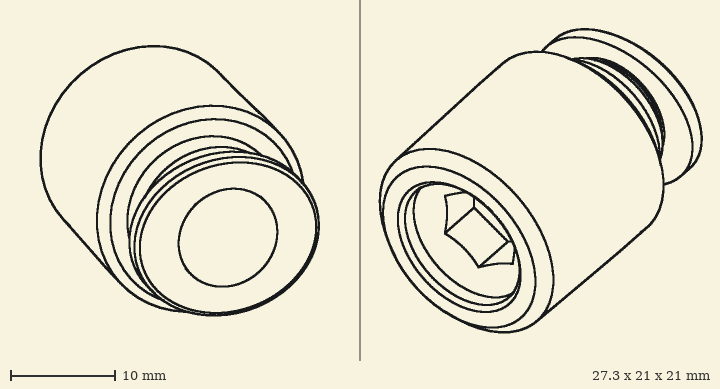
import cadquery as cq
import math

length = 27.3

end_face_radius = 9.0
taper_start = 1.2
taper_start_radius = 10.26
band_start = 15.02
band_end = 19.0
body_diameter = 21.0
body_radius = body_diameter / 2
shoulder_chamfer = 1.0
body_end = band_end + shoulder_chamfer

step_radius = 7.75
step_taper_start = 21.0
step_end = 22.5
step_end_radius = 7.53
ring_radius = 6.7
ring_end = 24.15
neck_radius = 5.85
neck_flare = 0.16

flange_start = 25.35
flange_thickness = length - flange_start
flange_half_width = 9.35
flange_half_height = 8.05
flange_chamfer = 0.4

mouth_radius = 7.25
mouth_chamfer = 0.5
mouth_depth = 1.9
socket_radius = mouth_radius - mouth_chamfer
cone_half_angle = 59.0
hex_flats = 8.0
hex_corners = hex_flats / math.cos(math.radians(30))
hex_end = 8.0
tube_bore_radius = 5.0


def revolve_about_x(points):
    """Revolve a closed (x, radius) outline about the X axis."""
    outline = cq.Workplane("XY").polyline(points).close()
    return outline.revolve(360, (0, 0, 0), (1, 0, 0))


def section_at(x):
    """Workplane across the axis at x, with its normal along +X."""
    return cq.Workplane("YZ", origin=(x, 0, 0))


def make_turned_body():
    return revolve_about_x([
        (0, 0),
        (0, end_face_radius),
        (taper_start, taper_start_radius),
        (band_start, body_radius),
        (band_end, body_radius),
        (body_end, body_radius - shoulder_chamfer),
        (body_end, step_radius),
        (step_taper_start, step_radius),
        (step_end, step_end_radius),
        (step_end, ring_radius),
        (ring_end, ring_radius),
        (ring_end, neck_radius),
        (flange_start - neck_flare, neck_radius),
        (flange_start, neck_radius + neck_flare),
        (length, neck_radius),
        (length, 0),
    ])


def make_flange():
    outline = section_at(flange_start).ellipse(flange_half_width, flange_half_height)
    blank = outline.extrude(flange_thickness)
    return blank.faces(">X").chamfer(flange_chamfer)


def make_socket():
    """Chamfered round mouth ending in a drill-point cone."""
    cone_depth = socket_radius / math.tan(math.radians(cone_half_angle))
    return revolve_about_x([
        (0, 0),
        (0, mouth_radius),
        (mouth_chamfer, socket_radius),
        (mouth_depth, socket_radius),
        (mouth_depth + cone_depth, 0),
    ])


def make_hex_passage():
    """Hexagonal key hole with corners pointing along +Z and -Z."""
    hexagon = section_at(0).transformed(rotate=(0, 0, 90)).polygon(6, hex_corners)
    return hexagon.extrude(hex_end)


def make_tube_bore():
    return section_at(hex_end).circle(tube_bore_radius).extrude(length - hex_end)


result = (
    make_turned_body()
    .union(make_flange())
    .cut(make_socket())
    .cut(make_hex_passage())
    .cut(make_tube_bore())
)